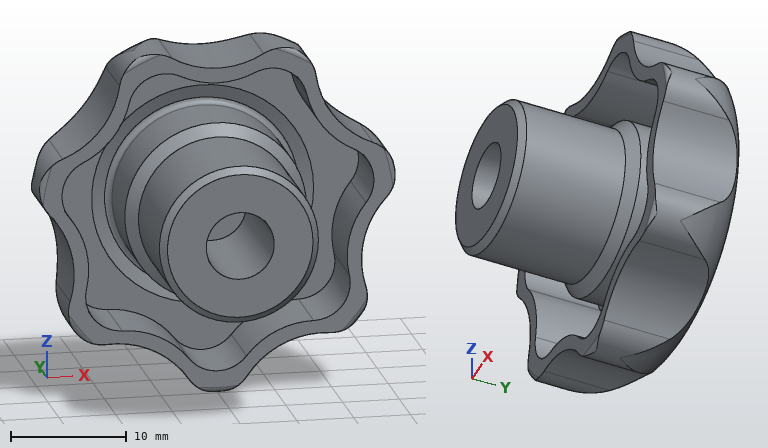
import cadquery as cq
import math

lobe_count = 7
lobe_pitch = 360 / lobe_count
first_lobe_angle = -90
lobe_centre_radius = 12.88
lobe_tip_radius = 3.1
head_radius = lobe_centre_radius + lobe_tip_radius
valley_radius = 13.2
head_height = 10.0
dome_edge_radius = 11.15
dome_edge_height = 8.75
rim_fillet = 0.47

pocket_centre_radius = 10.78
pocket_tip_radius = 3.23
pocket_valley_radius = 11.88
pocket_depth = 6.9
well_radius = 9.78
well_floor_radius = 8.55
well_cone_height = 0.4
well_depth = pocket_depth + well_cone_height

hub_radius = 14.0 / 2
hub_base_radius = 16.0 / 2
hub_length = 10.0
hub_chamfer = 0.6
hub_base_fillet = well_floor_radius - hub_base_radius
bore_diameter = 6.0
bore_depth = 12.55


def polar(radius, degrees):
    angle = math.radians(degrees)
    return (radius * math.cos(angle), radius * math.sin(angle))


def lobed_prism(centre_radius, tip_radius, valley, height):
    """Prism along +Y from y = 0 with tangent convex lobes and concave valleys."""
    half_pitch = math.radians(lobe_pitch / 2)
    across = centre_radius * math.sin(half_pitch)
    inset = valley - centre_radius * math.cos(half_pitch)
    scoop = (across**2 + inset**2 - tip_radius**2) / (2 * (tip_radius - inset))
    scoop_centre = valley + scoop
    tangent_fraction = tip_radius / (tip_radius + scoop)

    def tangent_point(lobe_angle, side):
        lobe = polar(centre_radius, lobe_angle)
        gap = polar(scoop_centre, lobe_angle + side * lobe_pitch / 2)
        return tuple(a + tangent_fraction * (b - a) for a, b in zip(lobe, gap))

    outline = cq.Workplane("XZ").moveTo(*tangent_point(first_lobe_angle, -1))
    for index in range(lobe_count):
        angle = first_lobe_angle + index * lobe_pitch
        tip = polar(centre_radius + tip_radius, angle)
        outline = outline.threePointArc(tip, tangent_point(angle, 1))
        valley_point = polar(valley, angle + lobe_pitch / 2)
        outline = outline.threePointArc(valley_point, tangent_point(angle + lobe_pitch, -1))
    return outline.close().extrude(-height)


def revolve_about_y(profile):
    return profile.close().revolve(360, (0, 0, 0), (0, 1, 0))


def domed_disc():
    """Round blank with a spherical top, a shoulder tangent to it and a rounded rim."""
    rise = head_height - dome_edge_height
    dome_radius = (dome_edge_radius**2 + rise**2) / (2 * rise)
    edge_angle = math.asin(dome_edge_radius / dome_radius)
    shoulder_radius = (head_radius - dome_edge_radius) / (1 - math.sin(edge_angle))
    shoulder_x = head_radius - shoulder_radius
    shoulder_y = dome_edge_height - shoulder_radius * math.cos(edge_angle)
    shoulder_angle = (math.pi / 2 - edge_angle) / 2
    shoulder_middle = (
        shoulder_x + shoulder_radius * math.cos(shoulder_angle),
        shoulder_y + shoulder_radius * math.sin(shoulder_angle),
    )
    dome_middle = (
        dome_radius * math.sin(edge_angle / 2),
        head_height - dome_radius * (1 - math.cos(edge_angle / 2)),
    )
    return revolve_about_y(
        cq.Workplane("XY")
        .lineTo(head_radius - rim_fillet, 0)
        .tangentArcPoint((rim_fillet, rim_fillet))
        .lineTo(head_radius, shoulder_y)
        .threePointArc(shoulder_middle, (dome_edge_radius, dome_edge_height))
        .threePointArc(dome_middle, (0, head_height))
    )


def conical_well():
    return revolve_about_y(
        cq.Workplane("XY")
        .lineTo(well_radius, 0)
        .lineTo(well_radius, pocket_depth)
        .lineTo(well_floor_radius, well_depth)
        .lineTo(0, well_depth)
    )


def hub():
    """Stepped hub that widens by a cone just inside the rim and blends into the well."""
    return revolve_about_y(
        cq.Workplane("XY")
        .moveTo(0, -hub_length)
        .lineTo(hub_radius - hub_chamfer, -hub_length)
        .lineTo(hub_radius, -hub_length + hub_chamfer)
        .lineTo(hub_radius, 0)
        .lineTo(hub_base_radius, hub_base_radius - hub_radius)
        .lineTo(hub_base_radius, well_depth - hub_base_fillet)
        .tangentArcPoint((hub_base_fillet, hub_base_fillet))
        .lineTo(0, well_depth)
    )


head = domed_disc().intersect(
    lobed_prism(lobe_centre_radius, lobe_tip_radius, valley_radius, head_height)
)
pocket = lobed_prism(pocket_centre_radius, pocket_tip_radius, pocket_valley_radius, pocket_depth)
bore = cq.Workplane("XZ", origin=(0, -hub_length, 0)).circle(bore_diameter / 2).extrude(-bore_depth)

result = head.cut(pocket).cut(conical_well()).union(hub()).cut(bore)